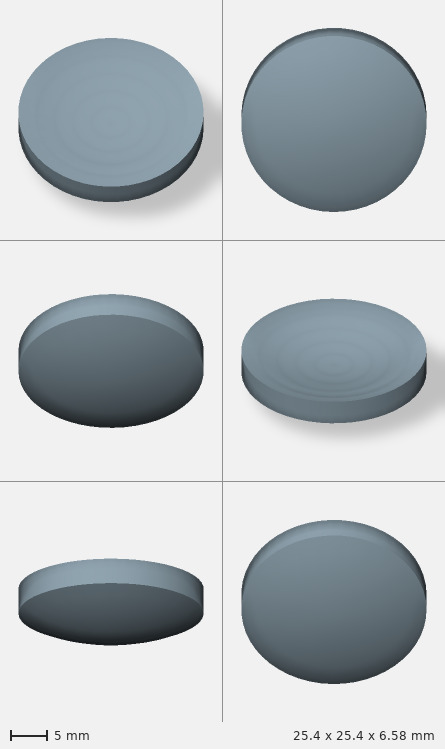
import cadquery as cq

diameter = 25.4
total_height = 6.58
rim_height = 3.55
concave_depth = 2.46

radius = diameter / 2
convex_depth = total_height - rim_height


def cap_radius(depth):
    """Sphere radius of a cap with the lens radius and the given depth."""
    return (radius**2 + depth**2) / (2 * depth)


def arc_midpoint(pole_z, depth):
    """Point at half the lens radius on a bowl whose lowest point is at pole_z."""
    sphere_radius = cap_radius(depth)
    half_radius = radius / 2
    rise = sphere_radius - (sphere_radius**2 - half_radius**2) ** 0.5
    return (half_radius, pole_z + rise)


concave_pole_z = total_height - concave_depth
half_section = (
    cq.Workplane("YZ")
    .moveTo(0, 0)
    .threePointArc(arc_midpoint(0, convex_depth), (radius, convex_depth))
    .lineTo(radius, total_height)
    .threePointArc(arc_midpoint(concave_pole_z, concave_depth), (0, concave_pole_z))
    .close()
)

result = half_section.revolve(360, (0, 0, 0), (0, 1, 0))